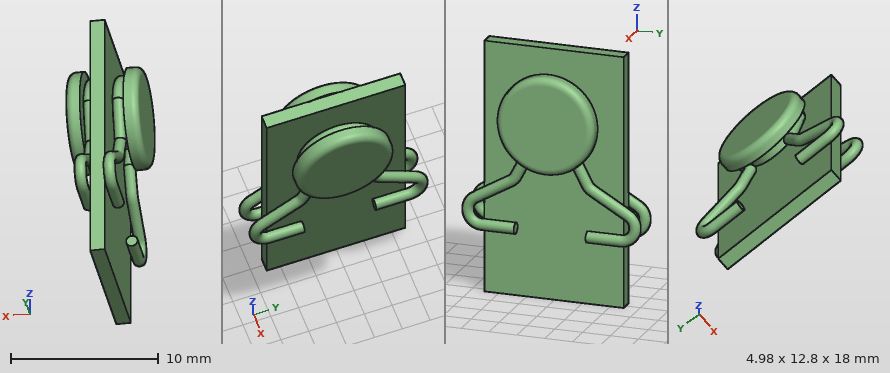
import cadquery as cq
import math


plate_thickness = 1.0
plate_width = 9.99
plate_height = 18.0
plate_top = 5.0

post_radius = 2.0
post_length = 0.99
head_radius = 3.5
head_thickness = 1.0
head_round = 0.49

wire_diameter = 0.8
loop_radius = 2.6
neck_y = 1.75
neck_z = -2.7
elbow_y = 2.68
elbow_radius = 1.0
arm_slope = 30.0
hook_radius = 1.0
hook_z = -7.0
tip_y = 2.57

face_x = plate_thickness / 2
wire_x = face_x + post_length / 2
hook_y = plate_width / 2


def make_headed_plate():
    """Plate with a round post and a rounded head on both faces."""
    plate = cq.Workplane("XY").box(plate_thickness, plate_width, plate_height)
    plate = plate.translate((0, 0, plate_top - plate_height / 2))
    post = cq.Workplane("YZ", origin=(face_x, 0, 0)).circle(post_radius).extrude(post_length)
    head = (
        cq.Workplane("YZ", origin=(face_x + post_length, 0, 0))
        .circle(head_radius)
        .extrude(head_thickness)
        .faces(">X")
        .edges()
        .fillet(head_round)
    )
    headed_post = post.union(head)
    return plate.union(headed_post).union(headed_post.mirror("YZ"))


def wire_half_points():
    """Centreline points (y, z) on the +Y side, from the free tip up to the neck."""
    slope = math.radians(arm_slope)
    arm_up = (-math.cos(slope), math.sin(slope))
    hook_end = (hook_y + hook_radius * math.sin(slope), hook_z + hook_radius * math.cos(slope))
    elbow_z = hook_end[1] + (hook_end[0] - elbow_y) * math.tan(slope)

    leg_length = math.hypot(neck_y - elbow_y, neck_z - elbow_z)
    leg_up = ((neck_y - elbow_y) / leg_length, (neck_z - elbow_z) / leg_length)
    turn = math.acos(arm_up[0] * leg_up[0] + arm_up[1] * leg_up[1])
    tangent_length = elbow_radius * math.tan(turn / 2)
    elbow_start = (elbow_y - tangent_length * arm_up[0], elbow_z - tangent_length * arm_up[1])
    elbow_end = (elbow_y + tangent_length * leg_up[0], elbow_z + tangent_length * leg_up[1])
    bisector = (leg_up[0] - arm_up[0], leg_up[1] - arm_up[1])
    inset = elbow_radius * (1 / math.cos(turn / 2) - 1) / math.hypot(*bisector)
    elbow_middle = (elbow_y + inset * bisector[0], elbow_z + inset * bisector[1])

    return [
        (tip_y, hook_z - hook_radius),
        (hook_y, hook_z - hook_radius),
        (hook_y + hook_radius, hook_z),
        hook_end,
        elbow_start,
        elbow_middle,
        elbow_end,
        (neck_y, neck_z),
    ]


def make_wire_arm():
    """Hook, arm and leg on the +Y side, mitred at the neck and cut level with the post axis."""
    tip, hook_start, hook_side, hook_end, elbow_start, elbow_middle, elbow_end, neck = wire_half_points()
    overrun = wire_diameter
    overrun_y = loop_radius + overrun * (loop_radius - neck_y) / -neck_z
    path = (
        cq.Workplane("YZ")
        .moveTo(*tip)
        .lineTo(*hook_start)
        .threePointArc(hook_side, hook_end)
        .lineTo(*elbow_start)
        .threePointArc(elbow_middle, elbow_end)
        .lineTo(*neck)
        .lineTo(overrun_y, overrun)
    )
    section = cq.Workplane("XZ", origin=(0, tip[0], tip[1])).circle(wire_diameter / 2)
    arm = section.sweep(path, transition="right")
    cutter_size = 4 * loop_radius
    above_axis = cq.Workplane("XY").box(cutter_size, cutter_size, cutter_size, centered=(True, True, False))
    return arm.cut(above_axis)


def make_wire(x):
    """Round wire with a half loop over a post and an arm on each side."""
    loop = (
        cq.Workplane("XY")
        .center(0, loop_radius)
        .circle(wire_diameter / 2)
        .revolve(180, (0, -loop_radius, 0), (1, -loop_radius, 0))
    )
    arm = make_wire_arm()
    return loop.union(arm).union(arm.mirror("XZ")).translate((x, 0, 0))


headed_plate = make_headed_plate()
wires = [make_wire(side * wire_x) for side in (-1, 1)]

result = cq.Compound.makeCompound([headed_plate.val(), *[wire.val() for wire in wires]])